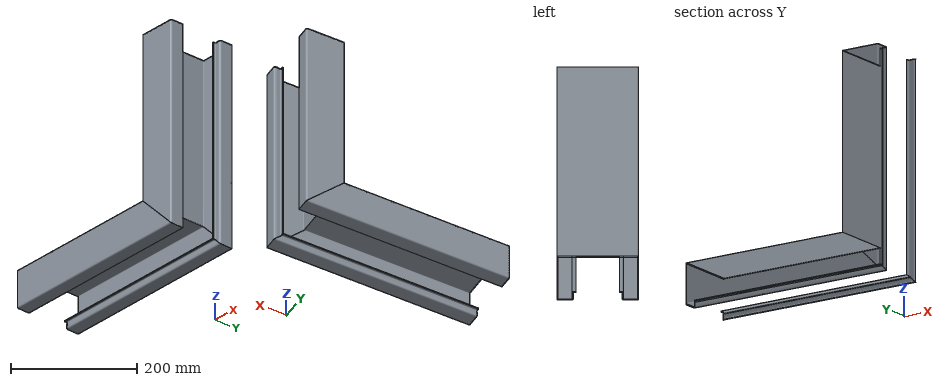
import cadquery as cq

OUTER_LENGTH = 370.0
WIDTH = 130.0
DEPTH = 70.0

WALL = 2.0
BEND_RADIUS = 3.0
FLANGE_WIDTH = 26.3
LIP_HEIGHT = 14.5
KINK_HEIGHT = 5.0
LIP_LEAN = 0.7
LEDGE_REACH = 4.5
LEDGE_DROP = 0.55
TIP_FLAT = 1.5

MATCH_DISTANCE = WALL / 4


def half_profile():
    """Corners of one half of the channel section, as (Y, Z) from the web's mid-line outwards.

    The first list follows the outside of the sheet, the second returns along the inside.
    """
    side = WIDTH / 2
    flange_edge = side - FLANGE_WIDTH
    ledge_edge = flange_edge - LEDGE_REACH
    lip_top = flange_edge + LIP_LEAN
    tip_height = LIP_HEIGHT - LEDGE_DROP
    outside = [
        (side, DEPTH),
        (side, 0),
        (flange_edge, 0),
        (flange_edge, KINK_HEIGHT),
        (lip_top, LIP_HEIGHT - WALL),
        (ledge_edge + TIP_FLAT, tip_height - WALL),
        (ledge_edge, tip_height - WALL),
    ]
    inside = [
        (ledge_edge, tip_height),
        (ledge_edge + TIP_FLAT, tip_height),
        (lip_top + WALL, LIP_HEIGHT),
        (flange_edge + WALL, KINK_HEIGHT),
        (flange_edge + WALL, WALL),
        (side - WALL, WALL),
        (side - WALL, DEPTH - WALL),
    ]
    return outside, inside


def round_corners(outline, corners, radius):
    """Fillet the section corners at the given (Y, Z) places and at their mirror images."""
    places = [cq.Vector(0, sign * y, z) for y, z in corners for sign in (1, -1)]
    vertices = [
        vertex
        for vertex in outline.Vertices()
        if any((vertex.Center() - place).Length < MATCH_DISTANCE for place in places)
    ]
    return outline.fillet2D(radius, vertices)


def channel_section():
    """Closed section wire in the YZ plane, with every bend of the sheet rounded."""
    outside, inside = half_profile()
    right_half = outside + inside
    left_half = [(-y, z) for y, z in reversed(right_half)]
    outline = cq.Workplane("YZ").polyline(right_half + left_half).close().val()
    convex_bends = outside[:3] + inside[2:3]
    concave_bends = outside[4:5] + inside[4:]
    outline = round_corners(outline, convex_bends, BEND_RADIUS)
    return round_corners(outline, concave_bends, BEND_RADIUS - WALL)


def mitre_waste():
    """Prism beyond the 45 degree mitre through the outer corner."""
    return (
        cq.Workplane("XZ")
        .polyline([(OUTER_LENGTH, 0), (OUTER_LENGTH, OUTER_LENGTH), (0, OUTER_LENGTH)])
        .close()
        .extrude(WIDTH, both=True)
    )


def horizontal_arm():
    channel = cq.Workplane("YZ").add(channel_section()).toPending().extrude(OUTER_LENGTH)
    return channel.cut(mitre_waste())


def vertical_arm(arm):
    """The horizontal arm mirrored across the mitre plane."""
    corner = cq.Vector(OUTER_LENGTH, 0, 0)
    mitre_normal = cq.Vector(1, 0, 1)
    return arm.mirror(mitre_normal, corner)


lower_channel = horizontal_arm()
upright_channel = vertical_arm(lower_channel)

result = cq.Compound.makeCompound([lower_channel.val(), upright_channel.val()])